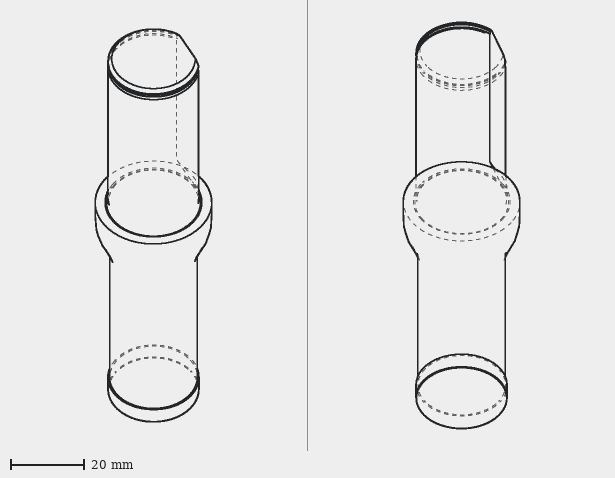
import cadquery as cq

total_length = 130.0
shank_radius = 25.0 / 2
body_radius = 24.0 / 2
collar_radius = 32.0 / 2

tip_top = 5.7
tip_cone_radius = 12.4
tip_cone_height = 0.8
tip_chamfer_top = 1.0

collar_top = 74.0
collar_rim_bottom = 69.3
neck_bottom = 54.0
neck_lower_radius = 12.5
neck_lower_height = 56.5
neck_upper_radius = 15.3
neck_upper_height = 63.5

undercut_top = 76.0
undercut_taper_end = 75.3
undercut_face_radius = 13.3
relief_radius = 12.4
undercut_floor = collar_top - 0.1
undercut_fillet_radius = 0.5

groove_radius = 24.5 / 2
groove_taper_start = 126.8
groove_bottom = 127.5
groove_top = 128.5
chamfer_bottom = 129.0
end_face_radius = 11.5

flat_offset = 10.4
flat_bottom = 77.7
flat_runout_radius = 2.6


def make_tip():
    """Short cap with a narrow edge chamfer and a very shallow conical end."""
    return (
        cq.Workplane("XZ")
        .moveTo(0, 0)
        .lineTo(tip_cone_radius, tip_cone_height)
        .lineTo(shank_radius, tip_chamfer_top)
        .lineTo(shank_radius, tip_top)
        .lineTo(0, tip_top)
        .close()
        .revolve(360, (0, 0, 0), (0, 1, 0))
    )


def make_turned_holder():
    """Body, neck, collar and shank as one turned profile."""
    up = (0, 1)
    fillet_start = (relief_radius, undercut_floor + undercut_fillet_radius)
    fillet_end = (relief_radius + undercut_fillet_radius, undercut_floor)
    neck_points = [
        (neck_lower_radius, neck_lower_height),
        (neck_upper_radius, neck_upper_height),
        (collar_radius, collar_rim_bottom),
    ]
    return (
        cq.Workplane("XZ")
        .moveTo(0, tip_top)
        .lineTo(body_radius, tip_top)
        .lineTo(body_radius, neck_bottom)
        .spline(neck_points, tangents=[up, up], includeCurrent=True)
        .lineTo(collar_radius, collar_top)
        .lineTo(undercut_face_radius, collar_top)
        .lineTo(*fillet_end)
        .radiusArc(fillet_start, undercut_fillet_radius)
        .lineTo(relief_radius, undercut_taper_end)
        .lineTo(shank_radius, undercut_top)
        .lineTo(shank_radius, groove_taper_start)
        .lineTo(groove_radius, groove_bottom)
        .lineTo(groove_radius, groove_top)
        .lineTo(shank_radius, groove_top)
        .lineTo(shank_radius, chamfer_bottom)
        .lineTo(end_face_radius, total_length)
        .lineTo(0, total_length)
        .close()
        .revolve(360, (0, 0, 0), (0, 1, 0))
    )


def make_flat_cutter():
    """Block beyond the flat, rounded where the cut runs out near the collar."""
    depth = collar_radius - flat_offset
    height = total_length - flat_bottom
    return (
        cq.Workplane("XY", origin=(0, flat_offset, flat_bottom))
        .box(2 * collar_radius, depth, height, centered=(True, False, False))
        .edges("<Y and <Z")
        .fillet(flat_runout_radius)
    )


tip = make_tip()
holder = make_turned_holder().cut(make_flat_cutter())

result = cq.Compound.makeCompound([holder.val(), tip.val()])